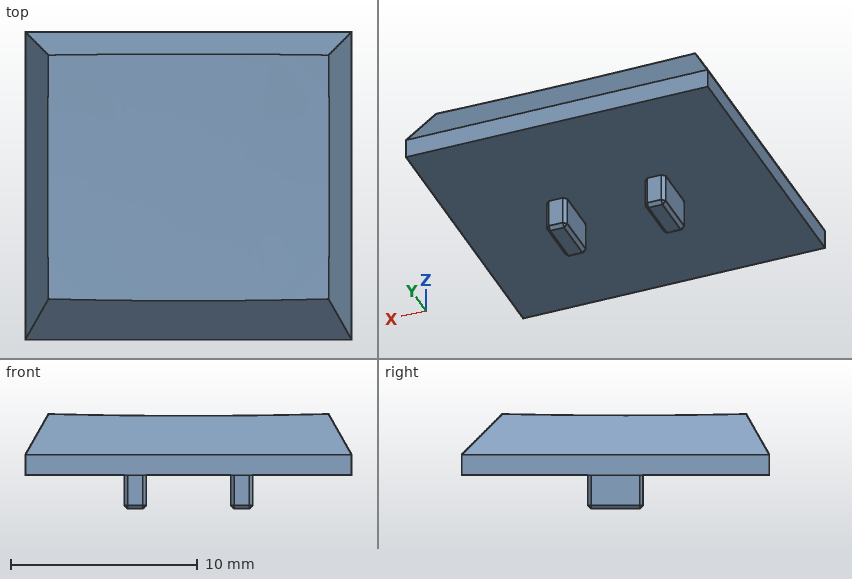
import cadquery as cq
import math

LENGTH_X = 17.5
LENGTH_Y = 16.5
BASE_HEIGHT = 1.1

CAP_HEIGHT = 2.19
SIDE_INSET = 1.25
BACK_INSET = 1.25
FRONT_INSET = CAP_HEIGHT

DISH_RADIUS = 280.0

LEG_SIZE_X = 1.19
LEG_SIZE_Y = 2.98
LEG_HEIGHT = 1.8
LEG_SPACING = 5.7
LEG_CHAMFER = 0.2

TOP_Z = BASE_HEIGHT + CAP_HEIGHT
TOP_SIZE_X = LENGTH_X - 2 * SIDE_INSET
TOP_SIZE_Y = LENGTH_Y - FRONT_INSET - BACK_INSET
TOP_CENTER_Y = (FRONT_INSET - BACK_INSET) / 2


def make_cap():
    """Base plate with the four flat sloping sides above it."""
    base = cq.Workplane("XY").rect(LENGTH_X, LENGTH_Y).extrude(BASE_HEIGHT)
    taper = (
        cq.Workplane("XY", origin=(0, 0, BASE_HEIGHT))
        .rect(LENGTH_X, LENGTH_Y)
        .workplane(offset=CAP_HEIGHT)
        .center(0, TOP_CENTER_Y)
        .rect(TOP_SIZE_X, TOP_SIZE_Y)
        .loft(ruled=True, combine=True)
    )
    return base.union(taper)


def make_dish():
    """Sphere centred over the top face and passing through its four corners."""
    corner_distance = math.hypot(TOP_SIZE_X, TOP_SIZE_Y) / 2
    center_height = math.sqrt(DISH_RADIUS**2 - corner_distance**2)
    return cq.Workplane("XY").sphere(DISH_RADIUS).translate((0, TOP_CENTER_Y, TOP_Z + center_height))


def make_leg(center_x):
    """Rectangular leg with chamfered upright and lower edges."""
    return (
        cq.Workplane("XY")
        .center(center_x, 0)
        .rect(LEG_SIZE_X, LEG_SIZE_Y)
        .extrude(-LEG_HEIGHT)
        .edges("|Z or <Z")
        .chamfer(LEG_CHAMFER)
    )


result = make_cap().cut(make_dish())
for side in (-1, 1):
    result = result.union(make_leg(side * LEG_SPACING / 2))